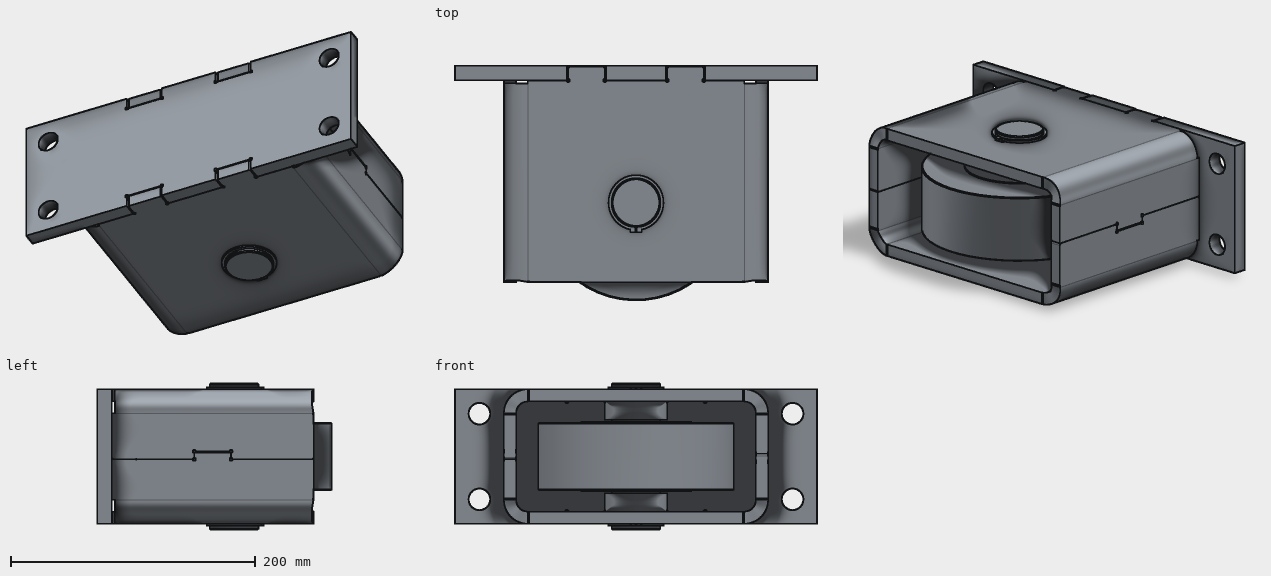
import math
import cadquery as cq


plate_length = 296.0
plate_thickness = 12.0
plate_face_y = 100.0
plate_back_y = plate_face_y + plate_thickness
bolt_hole_diameter = 17.5
bolt_hole_edge_distance = 20.0
bolt_hole_spacing_z = 70.0

frame_width = 216.0
frame_height = 110.0
frame_front_y = -65.0
frame_depth = plate_face_y - frame_front_y
sheet = 10.0
bend_outer_radius = 19.5
bend_inner_radius = bend_outer_radius - sheet
bend_axis_x = frame_width / 2 - bend_outer_radius
bend_axis_z = frame_height / 2 - bend_outer_radius

front_notch_depth = 1.7
rear_notch_depth = 2.5
notch_margin = 1.0
notch_runout_length = 1.3
notch_runout_depth = 0.4

plate_tab_width = 30.0
plate_tab_offset = 40.5
plate_tab_clearance = 1.0
plate_tab_end_gap = 1.0
plate_joint_gap = 0.2
plate_tab_chamfer = 1.0
relief_radius = 1.25

seam_gap = 0.1
seam_offset_z = 2.3
seam_tab_width = 30.0
seam_tab_height = 5.5
seam_tab_end_gap = 1.0
seam_end_radius = 1.5
seam_center_y = (plate_face_y + frame_front_y) / 2

wheel_diameter = 160.0
wheel_width = 55.0
wheel_chamfer = 0.8
wheel_boss_diameter = 90.0
wheel_boss_width = 57.0
spacer_diameter = 50.8
spacer_length = 15.0
axle_diameter = 40.0
axle_length = 119.7
axle_chamfer = 1.0
ring_diameter = 45.0
ring_thickness = 1.8
ring_lug_width = 9.0
ring_lug_reach = 24.4
ring_lug_chamfer = 0.5
ring_split = 1.0


def box(x_range, y_range, z_range):
    """Axis-aligned box between the given limits."""
    sizes = [high - low for low, high in (x_range, y_range, z_range)]
    corner = (x_range[0], y_range[0], z_range[0])
    return cq.Workplane("XY").box(*sizes, centered=False).translate(corner)


def disc(diameter, length, bottom_z):
    """Cylinder on the axle line, rising from bottom_z."""
    return cq.Workplane("XY").workplane(offset=bottom_z).circle(diameter / 2).extrude(length)


def on_both_sides(shape):
    """The shape together with its copy turned half a turn about Y."""
    return shape.union(shape.rotate((0, 0, 0), (0, 1, 0), 180))


def at_four_corners(shape):
    """The shape with its mirror images in X and in Z."""
    half = shape.union(shape.mirror("YZ"))
    return half.union(half.mirror("XY"))


def make_plate():
    hole_x_spacing = plate_length - 2 * bolt_hole_edge_distance
    plate = (
        cq.Workplane("XZ", origin=(0, plate_back_y, 0))
        .rect(plate_length, frame_height)
        .extrude(plate_thickness)
    )
    return (
        plate.faces("<Y")
        .workplane(origin=(0, plate_face_y, 0))
        .rect(hole_x_spacing, bolt_hole_spacing_z, forConstruction=True)
        .vertices()
        .hole(bolt_hole_diameter)
    )


def make_plate_slot():
    """Open slot in the upper edge of the plate, with round reliefs in its lower corners."""
    half_width = plate_tab_width / 2 + plate_tab_clearance
    floor_z = frame_height / 2 - sheet
    corners = [(plate_tab_offset + side * half_width, floor_z) for side in (-1, 1)]
    reliefs = (
        cq.Workplane("XZ", origin=(0, plate_back_y, 0))
        .pushPoints(corners)
        .circle(relief_radius)
        .extrude(plate_thickness)
    )
    slot = box(
        (plate_tab_offset - half_width, plate_tab_offset + half_width),
        (plate_face_y, plate_back_y),
        (floor_z, frame_height / 2),
    )
    return slot.union(reliefs)


def make_plate_tab():
    """Tab of the upper sheet that fills one plate slot."""
    half_width = plate_tab_width / 2
    tab = box(
        (plate_tab_offset - half_width, plate_tab_offset + half_width),
        (plate_face_y - plate_joint_gap, plate_back_y - plate_tab_end_gap),
        (frame_height / 2 - sheet, frame_height / 2),
    )
    return tab.faces(">Y").edges("|Z").chamfer(plate_tab_chamfer)


def make_plate_tab_reliefs():
    """Round reliefs at the two roots of one plate tab."""
    roots = [(plate_tab_offset + side * plate_tab_width / 2, plate_face_y) for side in (-1, 1)]
    return (
        cq.Workplane("XY")
        .workplane(offset=frame_height / 2 - sheet)
        .pushPoints(roots)
        .circle(relief_radius)
        .extrude(sheet)
    )


def make_front_notch():
    """Cutter that follows the bend and is deepest halfway round it."""
    inner = bend_inner_radius - notch_margin
    outer = bend_outer_radius + notch_margin
    start_y = frame_front_y - notch_margin
    steps = 8

    def edge_at(radius, depth):
        """Quarter-turn edge at the given radius: the front end for depth 0, else the notch floor."""
        points = []
        for step in range(steps + 1):
            angle = math.pi / 2 * step / steps
            y = frame_front_y + depth * math.sin(2 * angle) if depth else start_y
            x = bend_axis_x + radius * math.cos(angle)
            z = bend_axis_z + radius * math.sin(angle)
            points.append(cq.Vector(x, y, z))
        return cq.Edge.makeSpline(points)

    inner_front = edge_at(inner, 0)
    outer_front = edge_at(outer, 0)
    inner_back = edge_at(inner, front_notch_depth)
    outer_back = edge_at(outer, front_notch_depth)
    loop = [
        (inner_front, outer_front),
        (outer_front, outer_back),
        (outer_back, inner_back),
        (inner_back, inner_front),
    ]
    faces = [cq.Face.makeRuledSurface(first, second) for first, second in loop]
    for finish in (cq.Edge.startPoint, cq.Edge.endPoint):
        corners = [finish(edge) for edge in (inner_front, outer_front, outer_back, inner_back)]
        faces.append(cq.Face.makeFromWires(cq.Wire.makePolygon(corners, close=True)))
    return cq.Workplane(cq.Solid.makeSolid(cq.Shell.makeShell(faces)).fix())


def make_notch_runout():
    """Shallow steps where one front notch runs out into the flat sheets beside the bend."""
    y_range = (frame_front_y, frame_front_y + notch_runout_depth)
    on_upper_sheet = box(
        (bend_axis_x - notch_runout_length, bend_axis_x),
        y_range,
        (frame_height / 2 - sheet, frame_height / 2),
    )
    on_side_wall = box(
        (frame_width / 2 - sheet, frame_width / 2),
        y_range,
        (bend_axis_z - notch_runout_length, bend_axis_z),
    )
    return on_upper_sheet.union(on_side_wall)


def make_rear_notch():
    """Square cutter that shortens one bend next to the plate."""
    return box(
        (bend_axis_x, frame_width / 2),
        (plate_face_y - rear_notch_depth, plate_face_y),
        (bend_axis_z, frame_height / 2),
    )


def make_plate_joint():
    """Cutter for the narrow joint between the flat of the upper sheet and the plate."""
    return box(
        (-bend_axis_x, bend_axis_x),
        (plate_face_y - plate_joint_gap, plate_face_y),
        (frame_height / 2 - sheet, frame_height / 2),
    )


def make_seam():
    """Cutter for the interlocking seam through the -X wall."""
    wall_x = -frame_width / 2
    wall = (wall_x, wall_x + sheet)
    seam_z = -seam_offset_z
    tab_top_z = seam_z + seam_tab_height
    tab_left_y = seam_center_y - seam_tab_width / 2
    tab_right_y = seam_center_y + seam_tab_width / 2
    slot_z = (tab_top_z, tab_top_z + seam_tab_end_gap)

    seam = box(wall, (tab_left_y, tab_right_y), slot_z)
    runs = ((frame_front_y, tab_left_y), (tab_right_y, plate_face_y))
    for run in runs:
        seam = seam.union(box(wall, run, (seam_z, seam_z + seam_gap)))
    for side_y in (tab_left_y, tab_right_y):
        side = (side_y - seam_gap / 2, side_y + seam_gap / 2)
        seam = seam.union(box(wall, side, (seam_z, slot_z[1])))
        for z in (seam_z, slot_z[1]):
            relief = cq.Workplane("YZ", origin=(wall_x, side_y, z)).circle(relief_radius).extrude(sheet)
            seam = seam.union(relief)
    corner_z = seam_z + seam_gap
    diagonal = seam_end_radius * (1 - math.sqrt(0.5))
    for end_y, inward in ((frame_front_y, 1), (plate_face_y, -1)):
        rounding = (
            cq.Workplane("YZ", origin=(wall_x, end_y, corner_z))
            .lineTo(inward * seam_end_radius, 0)
            .threePointArc((inward * diagonal, diagonal), (0, seam_end_radius))
            .close()
            .extrude(sheet)
        )
        seam = seam.union(rounding)
    return seam


def make_frame():
    hollow_width = frame_width - 2 * sheet
    hollow_height = frame_height - 2 * sheet
    outer = (
        cq.Workplane("XZ", origin=(0, plate_face_y, 0))
        .rect(frame_width, frame_height)
        .extrude(frame_depth)
        .edges("|Y")
        .fillet(bend_outer_radius)
    )
    hollow = (
        cq.Workplane("XZ", origin=(0, plate_face_y, 0))
        .rect(hollow_width, hollow_height)
        .extrude(frame_depth)
        .edges("|Y")
        .fillet(bend_inner_radius)
    )
    frame = outer.cut(hollow)
    frame = frame.cut(at_four_corners(make_front_notch()))
    frame = frame.cut(at_four_corners(make_notch_runout()))
    frame = frame.cut(at_four_corners(make_rear_notch()))
    joint = make_plate_joint()
    frame = frame.cut(joint).cut(joint.mirror("XY"))
    return frame.cut(on_both_sides(make_seam()))


def make_wheel():
    """Wheel with a slightly raised boss on both sides."""
    tread = disc(wheel_diameter, wheel_width, -wheel_width / 2)
    tread = tread.edges("%CIRCLE").chamfer(wheel_chamfer)
    return tread.union(disc(wheel_boss_diameter, wheel_boss_width, -wheel_boss_width / 2))


def make_ring():
    """Split retaining ring with two lugs, lying on the upper sheet."""
    bottom_z = frame_height / 2
    z_range = (bottom_z, bottom_z + ring_thickness)
    lugs = box((-ring_lug_width / 2, ring_lug_width / 2), (-ring_lug_reach, 0), z_range)
    lugs = lugs.faces("<Y").edges("|Z").chamfer(ring_lug_chamfer)
    split = box((-ring_split / 2, ring_split / 2), (-ring_lug_reach, 0), z_range)
    return disc(ring_diameter, ring_thickness, bottom_z).union(lugs).cut(split)


def make_axle_set():
    axle = disc(axle_diameter, axle_length, -axle_length / 2).edges().chamfer(axle_chamfer)
    spacer = disc(spacer_diameter, spacer_length, frame_height / 2 - sheet - spacer_length)
    return axle.union(on_both_sides(spacer)).union(at_four_corners(make_ring()))


plate = make_plate().cut(at_four_corners(make_plate_slot()))
body = plate.union(make_frame()).union(at_four_corners(make_plate_tab()))
body = body.cut(at_four_corners(make_plate_tab_reliefs()))
result = body.union(make_axle_set()).union(make_wheel())